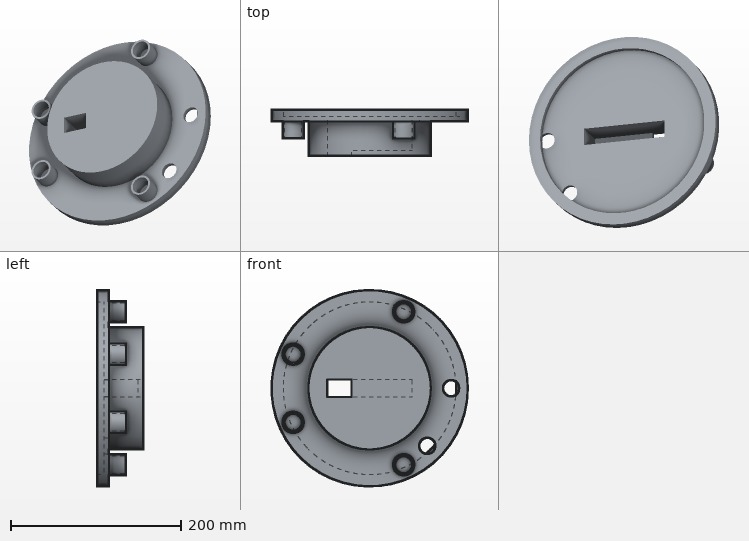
import cadquery as cq
import math

flange_diameter = 231.0
flange_thickness = 13.9

boss_diameter = 144.0
overall_depth = 54.5

recess_diameter = 203.3
recess_depth = 8.0

window_width = 28.5
window_height = 20.0
window_center_x = -35.5

front_wall = 6.5
slot_length = window_width - 2 * window_center_x

post_diameter = 25.0
post_bore_diameter = 20.0
post_height = 20.0
post_circle_radius = 98.5
post_angles = [66, 156, 204, 294]

hole_diameter = 19.0
hole_circle_radius = 95.9
hole_angles = [0, -45]

flange_front = -flange_thickness


def polar_points(radius, angles):
    """Points on a circle; angles run from +X toward +Z."""
    return [
        (radius * math.cos(math.radians(a)), radius * math.sin(math.radians(a)))
        for a in angles
    ]


def cylinders(diameter, start_y, length, points):
    """Cylinders growing toward -Y from the plane Y = start_y."""
    plane = cq.Workplane("XZ", origin=(0, start_y, 0))
    return plane.pushPoints(points).circle(diameter / 2).extrude(length)


center = [(0, 0)]
post_points = polar_points(post_circle_radius, post_angles)
hole_points = polar_points(hole_circle_radius, hole_angles)

flange = cylinders(flange_diameter, 0, flange_thickness, center)
boss = cylinders(boss_diameter, flange_front, overall_depth - flange_thickness, center)
posts = cylinders(post_diameter, flange_front, post_height, post_points)

recess = cylinders(recess_diameter, 0, recess_depth, center)
post_bores = cylinders(post_bore_diameter, flange_front, post_height, post_points)
holes = cylinders(hole_diameter, 0, flange_thickness, hole_points)
holes = holes.intersect(
    cylinders(flange_diameter, -recess_depth, flange_thickness - recess_depth, center)
)
window = (
    cq.Workplane("XZ")
    .center(window_center_x, 0)
    .rect(window_width, window_height)
    .extrude(overall_depth)
)
slot = (
    cq.Workplane("XZ")
    .rect(slot_length, window_height)
    .extrude(overall_depth - front_wall)
)

result = flange.union(boss).union(posts)
result = result.cut(recess).cut(post_bores).cut(holes).cut(window).cut(slot)